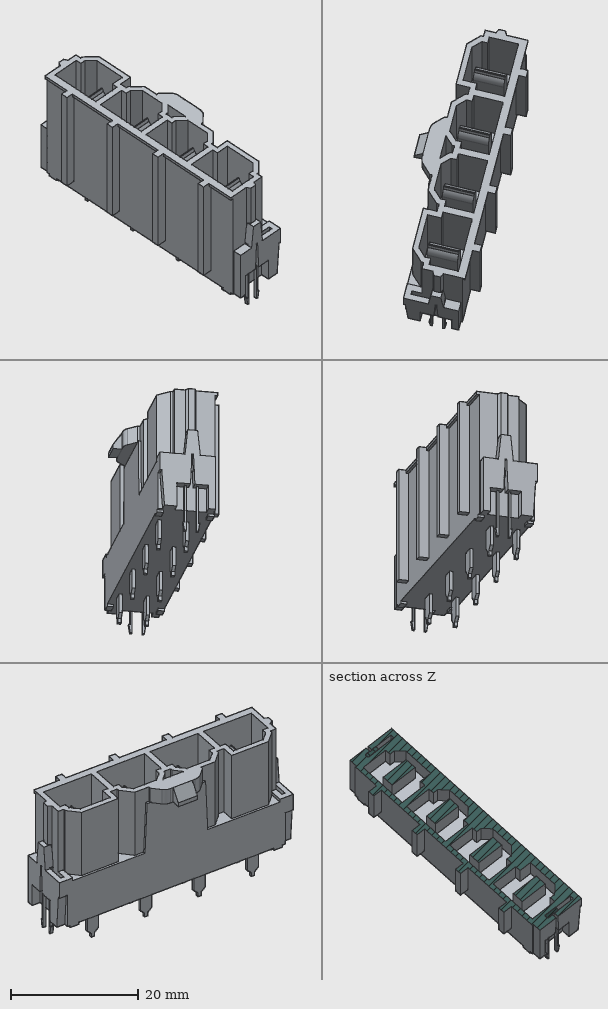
import cadquery as cq
import math

overall_length = 43.9
top_z = 20.62
end_x = overall_length / 2

cell_count = 4
cell_pitch = 10.0
cell_half_width = 4.48
key_half_width = 3.45
cavity_front_y = 1.3
cavity_shoulder_y = 6.05
cavity_back_y = 8.3
cavity_chamfer = 1.3
cavity_floor_z = 5.0
wall = 0.9
cell_centers = [(i - (cell_count - 1) / 2) * cell_pitch for i in range(cell_count)]
chamfered_sides = [(True, False), (True, True), (True, True), (False, True)]

body_half_length = 20.45
front_wall_y = 0.45
lip_height = 0.53
shoulder_y = cavity_shoulder_y + wall
cell_back_y = cavity_back_y + wall
base_back_y = 9.6
base_top_z = 8.45

rib_width = 1.2
rib_front_y = -1.2
rib_bottom_z = 1.97
foot_height = 0.4
foot_outer_x = 19.9
foot_length = 1.62
foot_depth = 1.0

panel_front_y = 8.7
panel_top_half_width = 5.5
panel_bottom_half_width = 5.9
latch_bottom_z = 17.85
latch_back_y = 11.45
latch_half_width = 4.9
latch_fillet = 1.8
tooth_half_width = 1.8
tooth_tip_y = 12.9
tooth_ramp_end_z = 18.5
tooth_hook = 0.1

block_inner_x = 19.45
block_front_y = 0.65
block_top_z = 9.0
axis_y = 4.35
tower_top_z = 13.2
tower_bottom_half_width = 1.25
tower_top_half_width = 0.8
guide_x = 21.1
guide_root_half_width = 0.88
guide_tip_half_width = 0.53
pocket_half_width = 2.55
pocket_top_z = 4.0
slit_bottom_half_width = 0.35
slit_top_half_width = 0.15
slit_top_z = 9.13
lead_in_top_z = 6.0
lead_in_top_depth = 0.3
lead_in_bottom_depth = 0.75
slot_back_y = 8.6

clip_thickness = 0.55
clip_plate_bottom_z = 6.63
clip_plate_top_z = slit_top_z
clip_outer_half_width = 1.15
clip_leg_width = 0.3
clip_bottom_z = -3.6
barb_z = -2.2
barb_reach = 0.2
clip_inner_x = body_half_length
clip_outer_x = clip_inner_x + clip_thickness

blade_half_width = 1.05
blade_front_y = 2.33
blade_back_y = 7.3
blade_tip_z = 16.8
blade_round_height = 1.6
blade_nose_height = 0.53
blade_nose_half_width = 0.3
blade_tip_half_width = 0.1
tail_half_width = 1.05
tail_tip_half_width = 0.3
tail_thickness = 0.53
tail_centers_y = (4.0, 8.4)
tail_shoulder_z = -3.2
tail_neck_z = -3.9
tail_bottom_z = -4.6


def box(x_min, x_max, y_min, y_max, z_min, z_max):
    """Block between two opposite corners."""
    size = (x_max - x_min, y_max - y_min, z_max - z_min)
    return cq.Workplane("XY").box(*size, centered=False).translate((x_min, y_min, z_min))


def prism_along_x(yz_points, x_min, x_max):
    """Prism with a Y-Z outline, running from x_min to x_max."""
    return cq.Workplane("YZ", origin=(x_min, 0, 0)).polyline(yz_points).close().extrude(x_max - x_min)


def prism_along_y(xz_profile, y_min, y_max):
    """Prism from a closed X-Z profile, running from y_min to y_max."""
    return xz_profile.extrude(-(y_max - y_min)).translate((0, y_min, 0))


def prism_along_z(xy_points, z_min, z_max):
    """Prism with an X-Y outline, running from z_min to z_max."""
    return cq.Workplane("XY", origin=(0, 0, z_min)).polyline(xy_points).close().extrude(z_max - z_min)


def both_ends(shape):
    """The shape together with its mirror image at the other end."""
    return shape.union(shape.mirror("YZ"))


def key_prism(center_x, sides, half_width, front_y, back_y, chamfer, bottom_z):
    """Narrow back part of a cell, its back corners chamfered where `sides` says."""
    left, right = [chamfer if chamfered else 0 for chamfered in sides]
    points = [(-half_width, front_y), (half_width, front_y), (half_width, back_y - right)]
    if right:
        points.append((half_width - right, back_y))
    points.append((left - half_width, back_y))
    if left:
        points.append((-half_width, back_y - left))
    return prism_along_z([(center_x + x, y) for x, y in points], bottom_z, top_z)


def make_shell():
    """Solid outer body: base, cell walls, lip, ribs and feet."""
    shell = box(-body_half_length, body_half_length, front_wall_y, shoulder_y, 0, top_z)
    shell = shell.union(box(-body_half_length, body_half_length, front_wall_y, base_back_y, 0, base_top_z))
    shell = shell.union(box(-body_half_length, body_half_length, 0, shoulder_y, top_z - lip_height, top_z))
    outer_chamfer = cavity_chamfer + wall * (2 - math.sqrt(2))
    for center_x, sides in zip(cell_centers, chamfered_sides):
        shell = shell.union(key_prism(center_x, sides, key_half_width + wall, cavity_front_y,
                                      cell_back_y, outer_chamfer, 0))
        shell = shell.union(box(center_x - rib_width / 2, center_x + rib_width / 2,
                                rib_front_y, cavity_front_y, rib_bottom_z, top_z))
    for foot_y in (front_wall_y, base_back_y - foot_depth):
        foot = box(-foot_outer_x, -foot_outer_x + foot_length, foot_y, foot_y + foot_depth, -foot_height, 0)
        shell = shell.union(both_ends(foot))
    return shell


def make_latch():
    """Latch plate with a ramped tooth, on a panel that tapers in width."""
    panel_profile = cq.Workplane("XZ").polyline([
        (-panel_bottom_half_width, base_top_z), (panel_bottom_half_width, base_top_z),
        (panel_top_half_width, latch_bottom_z), (-panel_top_half_width, latch_bottom_z)]).close()
    panel = prism_along_y(panel_profile, panel_front_y, base_back_y)
    flank_run = latch_back_y - base_back_y
    plate = prism_along_z([
        (-latch_half_width, panel_front_y), (latch_half_width, panel_front_y),
        (latch_half_width, base_back_y), (latch_half_width - flank_run, latch_back_y),
        (flank_run - latch_half_width, latch_back_y), (-latch_half_width, base_back_y)],
        latch_bottom_z, top_z)
    plate = plate.edges("|Z").edges(">Y").fillet(latch_fillet)
    tooth = prism_along_x([
        (base_back_y, latch_bottom_z), (latch_back_y, latch_bottom_z),
        (tooth_tip_y, latch_bottom_z - tooth_hook), (tooth_tip_y, tooth_ramp_end_z),
        (latch_back_y, top_z), (base_back_y, top_z)], -tooth_half_width, tooth_half_width)
    return panel.union(plate).union(tooth)


def make_end_block():
    """Block at the -X end with its tower, guide rail, pocket, slit, lead-in and slot."""
    block = box(-end_x, -block_inner_x, block_front_y, base_back_y, 0, block_top_z)
    tower = prism_along_x([
        (axis_y - tower_bottom_half_width, block_top_z), (axis_y + tower_bottom_half_width, block_top_z),
        (axis_y + tower_top_half_width, tower_top_z), (axis_y - tower_top_half_width, tower_top_z)],
        -end_x, -body_half_length)
    guide = prism_along_z([
        (-body_half_length, axis_y - guide_root_half_width), (-guide_x, axis_y - guide_tip_half_width),
        (-guide_x, axis_y + guide_tip_half_width), (-body_half_length, axis_y + guide_root_half_width)],
        block_top_z, top_z)
    pocket = box(-end_x, -body_half_length, axis_y - pocket_half_width, axis_y + pocket_half_width,
                 0, pocket_top_z)
    slit = prism_along_x([
        (axis_y - slit_bottom_half_width, pocket_top_z), (axis_y + slit_bottom_half_width, pocket_top_z),
        (axis_y + slit_top_half_width, slit_top_z), (axis_y - slit_top_half_width, slit_top_z)],
        -end_x, -body_half_length)
    lead_in = prism_along_x([
        (base_back_y, 0), (base_back_y - lead_in_bottom_depth, 0),
        (base_back_y - lead_in_top_depth, lead_in_top_z), (base_back_y, lead_in_top_z)],
        -end_x, -body_half_length)
    slot = box(-clip_outer_x, -clip_inner_x, axis_y + clip_outer_half_width, slot_back_y,
               clip_plate_bottom_z, block_top_z)
    return block.cut(slot).cut(lead_in).union(tower).union(guide).cut(pocket).cut(slit)


def make_cavity(center_x, sides):
    """Open-topped keyed cavity of one cell."""
    front = box(center_x - cell_half_width, center_x + cell_half_width,
                cavity_front_y, cavity_shoulder_y, cavity_floor_z, top_z)
    return front.union(key_prism(center_x, sides, key_half_width, cavity_front_y,
                                 cavity_back_y, cavity_chamfer, cavity_floor_z))


def make_contact(center_x):
    """Round-tipped blade standing on the cavity floor, and two solder tails below the base."""
    nose_z = blade_tip_z - blade_nose_height
    round_start_z = nose_z - blade_round_height
    blade_profile = (
        cq.Workplane("XZ")
        .moveTo(0, cavity_floor_z)
        .lineTo(blade_half_width, cavity_floor_z)
        .lineTo(blade_half_width, round_start_z)
        .tangentArcPoint((blade_nose_half_width, nose_z), relative=False)
        .lineTo(blade_tip_half_width, blade_tip_z)
        .lineTo(0, blade_tip_z)
        .mirrorY()
    )
    contact = prism_along_y(blade_profile, blade_front_y, blade_back_y)
    for tail_y in tail_centers_y:
        tail_profile = cq.Workplane("XZ").polyline([
            (-tail_half_width, 0), (tail_half_width, 0),
            (tail_half_width, tail_shoulder_z), (tail_tip_half_width, tail_neck_z),
            (tail_tip_half_width, tail_bottom_z), (-tail_tip_half_width, tail_bottom_z),
            (-tail_tip_half_width, tail_neck_z), (-tail_half_width, tail_shoulder_z)]).close()
        contact = contact.union(
            prism_along_y(tail_profile, tail_y - tail_thickness / 2, tail_y + tail_thickness / 2))
    return contact.translate((center_x, 0, 0))


def make_clip():
    """Board clip at the -X end: a plate buried under the tower and two barbed legs."""
    leg_points = [
        (clip_outer_half_width, clip_plate_bottom_z), (clip_outer_half_width, barb_z),
        (clip_outer_half_width + barb_reach, barb_z), (clip_outer_half_width, clip_bottom_z),
        (clip_outer_half_width - clip_leg_width, clip_bottom_z),
        (clip_outer_half_width - clip_leg_width, clip_plate_bottom_z)]
    clip = box(-clip_outer_x, -clip_inner_x, axis_y - clip_outer_half_width,
               axis_y + clip_outer_half_width, clip_plate_bottom_z, clip_plate_top_z)
    for side in (-1, 1):
        leg_outline = [(axis_y + side * y, z) for y, z in leg_points]
        clip = clip.union(prism_along_x(leg_outline, -clip_outer_x, -clip_inner_x))
    return clip


clips = [make_clip(), make_clip().mirror("YZ")]

housing = make_shell().union(make_latch()).union(both_ends(make_end_block()))
for center_x, sides in zip(cell_centers, chamfered_sides):
    housing = housing.cut(make_cavity(center_x, sides)).union(make_contact(center_x))
for clip in clips:
    housing = housing.cut(clip)

result = cq.Compound.makeCompound([housing.val(), *[clip.val() for clip in clips]])